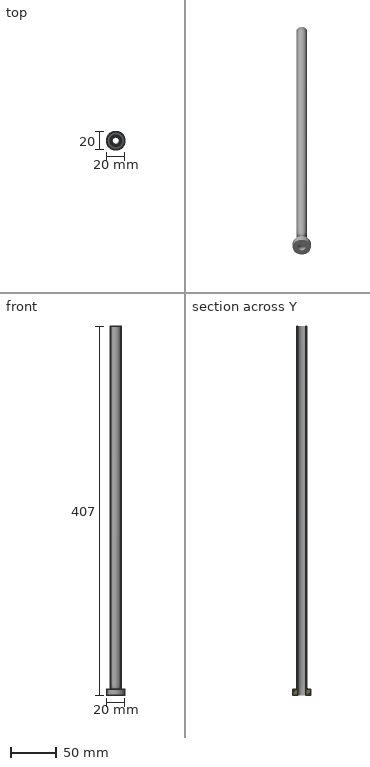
import cadquery as cq

total_length = 407.0
head_diameter = 20.0
head_height = 7.0
shaft_diameter = 12.0
bore_diameter = 8.5
neck_fillet_radius = 0.6

shaft_length = total_length - head_height


def make_head():
    """Round head resting on the XY plane."""
    return cq.Workplane("XY").circle(head_diameter / 2).extrude(head_height)


def add_shaft(body):
    """Cylindrical shaft rising from the top face of the head."""
    return body.faces(">Z").workplane().circle(shaft_diameter / 2).extrude(shaft_length)


def round_neck(body):
    """Fillet in the corner where the shaft meets the head."""
    shoulder = body.faces("|Z").faces(">Z[1]")
    neck_edge = shoulder.edges(cq.selectors.RadiusNthSelector(0))
    return neck_edge.fillet(neck_fillet_radius)


def cut_bore(body):
    """Straight bore through the full length of the sleeve."""
    return body.faces(">Z").workplane().hole(bore_diameter)


head = make_head()
sleeve = add_shaft(head)
sleeve = round_neck(sleeve)
result = cut_bore(sleeve)